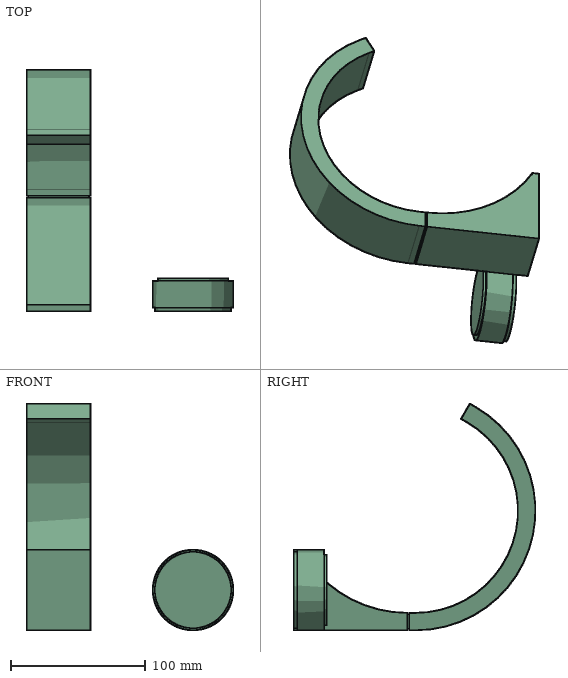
import cadquery as cq
import math

strap_width = 47.8
strap_thickness = 13.2
straight_length = 5.0
overall_depth = 180.3

hook_outer_radius = 89.2
hook_inner_radius = hook_outer_radius - strap_thickness
hook_end_tilt = 30.0
hook_center_y = overall_depth - hook_outer_radius
hook_center_z = hook_outer_radius
hook_front_y = hook_center_y - straight_length

spacer_thickness = 1.3
spacer_inset = 1.0

base_height = 60.2
base_lip = 5.0
base_back_y = hook_front_y - spacer_thickness

puck_radius = base_height / 2
puck_center_x = 124.0
puck_length = 19.8
boss_radius = 26.3
boss_length = 2.0
cap_radius = 28.5
cap_thickness = 2.9


def hook_point(radius, angle):
    """Point (Y, Z) on the hook's circle, at an angle in degrees from +Y toward +Z."""
    turn = math.radians(angle)
    return (hook_center_y + radius * math.cos(turn), hook_center_z + radius * math.sin(turn))


def make_hook():
    """C-shaped strap: an arc with a short tangent straight at each end."""
    end_angle = 90 - hook_end_tilt
    tilt = math.radians(hook_end_tilt)
    run_y = -straight_length * math.cos(tilt)
    run_z = straight_length * math.sin(tilt)
    outer_end = hook_point(hook_outer_radius, end_angle)
    inner_end = hook_point(hook_inner_radius, end_angle)
    return (
        cq.Workplane("YZ")
        .moveTo(hook_front_y, 0)
        .lineTo(hook_center_y, 0)
        .threePointArc(hook_point(hook_outer_radius, 0), outer_end)
        .line(run_y, run_z)
        .lineTo(inner_end[0] + run_y, inner_end[1] + run_z)
        .lineTo(*inner_end)
        .threePointArc(hook_point(hook_inner_radius, 0), (hook_center_y, strap_thickness))
        .lineTo(hook_front_y, strap_thickness)
        .close()
        .extrude(strap_width)
    )


def make_base():
    """Block whose concave top rises from the strap thickness to the front lip."""
    rise = base_height - strap_thickness
    run = base_back_y - base_lip
    radius = (run**2 + rise**2) / (2 * rise)
    half_sweep = math.atan2(rise, run)
    arc_middle = (
        base_back_y - radius * math.sin(half_sweep),
        strap_thickness + radius * (1 - math.cos(half_sweep)),
    )
    return (
        cq.Workplane("YZ")
        .lineTo(base_back_y, 0)
        .lineTo(base_back_y, strap_thickness)
        .threePointArc(arc_middle, (base_lip, base_height))
        .lineTo(0, base_height)
        .close()
        .extrude(strap_width)
    )


def make_spacer():
    """Thin plate between base and hook, set in from their outer faces."""
    return cq.Workplane("XY").box(
        strap_width - 2 * spacer_inset,
        spacer_thickness,
        strap_thickness - 2 * spacer_inset,
        centered=False,
    ).translate((spacer_inset, base_back_y, spacer_inset))


def make_disc(radius, length, front_y):
    """Disc on the puck's axis, running back from front_y."""
    return (
        cq.Workplane("XZ", origin=(puck_center_x, front_y, puck_radius))
        .circle(radius)
        .extrude(-length)
    )


def make_cap():
    """Round plate on the front of the puck."""
    return make_disc(cap_radius, cap_thickness, 0)


def make_puck():
    """Round body with a smaller boss on its back."""
    body = make_disc(puck_radius, puck_length, cap_thickness)
    boss = make_disc(boss_radius, boss_length, cap_thickness + puck_length)
    return body.union(boss)


hook = make_hook()
base = make_base()
spacer = make_spacer()
puck = make_puck()
cap = make_cap()

result = cq.Compound.makeCompound(
    [hook.val(), base.val(), spacer.val(), puck.val(), cap.val()]
)